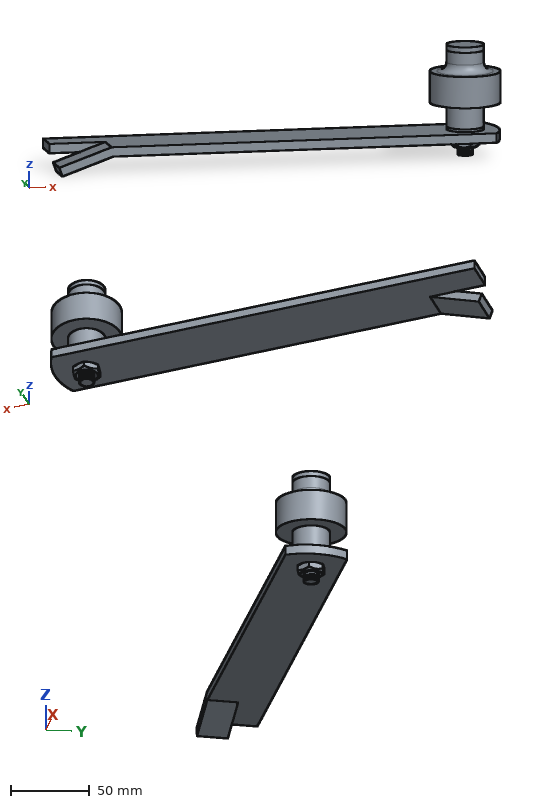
import cadquery as cq
import math

BAR_WIDTH = 40.0
BAR_THICKNESS = 6.0
BAR_CORNER_X = 286.3
END_BULGE = 5.3

SLIT_LENGTH = 38.3
BEND_X = 36.3
BEND_ANGLE = 19.5
LEG_LENGTH = 36.0

DRUM_DIAMETER = 45.0
SLEEVE_DIAMETER = 24.0
WASHER_THICKNESS = 1.8
DRUM_BOTTOM = 17.3
DRUM_HEIGHT = 20.2
NECK_FILLET = 5.8
NECK_HEIGHT = 13.7
DRUM_TOP = DRUM_BOTTOM + DRUM_HEIGHT
ROLLER_TOP = DRUM_TOP + NECK_HEIGHT
AXIS_X = 292.5 - DRUM_DIAMETER / 2

HEAD_THICKNESS = 3.5
THREAD_DIAMETER = 10.0
THREAD_ROOT_DIAMETER = 8.5
THREAD_PITCH = 1.5
GROOVE_MOUTH = 1.2
GROOVE_FLOOR = 0.3
CUT_MARGIN = 0.3
BOLT_PROJECTION = 10.5
BOLT_BOTTOM = -BAR_THICKNESS - BOLT_PROJECTION
TIP_CHAMFER = 0.5

NUT_ACROSS_FLATS = 16.0
NUT_HEIGHT = 5.3
NUT_ROTATION = 40.0
NUT_TOP_FACE_DIAMETER = 16.0
NUT_BOTTOM_FACE_DIAMETER = 14.0
NUT_TOP_CHAMFER = 0.5
NUT_BOTTOM_CHAMFER = 1.8
NUT_TOP = -BAR_THICKNESS
NUT_BOTTOM = NUT_TOP - NUT_HEIGHT


def disc(diameter, bottom, height):
    """Vertical cylinder on the bolt axis."""
    return cq.Workplane("XY", origin=(AXIS_X, 0, bottom)).circle(diameter / 2).extrude(height)


def bolt_bore(bottom, top):
    """Cutter for the bolt hole between two heights."""
    return disc(THREAD_DIAMETER, bottom, top - bottom)


def make_bent_leg():
    """Front half of the split end, from the slit's inner end to the tip."""
    angle = math.radians(BEND_ANGLE)
    tip_x = BEND_X - LEG_LENGTH * math.cos(angle)
    tip_z = -LEG_LENGTH * math.sin(angle)
    lower_bend_x = BEND_X + BAR_THICKNESS * math.tan(angle / 2)
    outline = [
        (SLIT_LENGTH, 0),
        (BEND_X, 0),
        (tip_x, tip_z),
        (tip_x + BAR_THICKNESS * math.sin(angle), tip_z - BAR_THICKNESS * math.cos(angle)),
        (lower_bend_x, -BAR_THICKNESS),
        (SLIT_LENGTH, -BAR_THICKNESS),
    ]
    return cq.Workplane("XZ").polyline(outline).close().extrude(BAR_WIDTH / 2)


def make_bar():
    half_width = BAR_WIDTH / 2
    flat = (
        cq.Workplane("XY")
        .moveTo(0, half_width)
        .lineTo(BAR_CORNER_X, half_width)
        .threePointArc((BAR_CORNER_X + END_BULGE, 0), (BAR_CORNER_X, -half_width))
        .lineTo(SLIT_LENGTH, -half_width)
        .lineTo(SLIT_LENGTH, 0)
        .lineTo(0, 0)
        .close()
        .extrude(-BAR_THICKNESS)
    )
    return flat.union(make_bent_leg()).cut(bolt_bore(-BAR_THICKNESS, 0))


def make_washer():
    return disc(SLEEVE_DIAMETER, 0, WASHER_THICKNESS).cut(bolt_bore(0, WASHER_THICKNESS))


def make_roller():
    bore_radius = THREAD_DIAMETER / 2
    sleeve_radius = SLEEVE_DIAMETER / 2
    drum_radius = DRUM_DIAMETER / 2
    fillet_top = DRUM_TOP + NECK_FILLET
    fillet_diagonal = NECK_FILLET * math.sqrt(0.5)
    fillet_middle = (sleeve_radius + NECK_FILLET - fillet_diagonal, fillet_top - fillet_diagonal)
    return (
        cq.Workplane("XZ", origin=(AXIS_X, 0, 0))
        .moveTo(bore_radius, WASHER_THICKNESS)
        .lineTo(sleeve_radius, WASHER_THICKNESS)
        .lineTo(sleeve_radius, DRUM_BOTTOM)
        .lineTo(drum_radius, DRUM_BOTTOM)
        .lineTo(drum_radius, DRUM_TOP)
        .lineTo(sleeve_radius + NECK_FILLET, DRUM_TOP)
        .threePointArc(fillet_middle, (sleeve_radius, fillet_top))
        .lineTo(sleeve_radius, ROLLER_TOP)
        .lineTo(bore_radius, ROLLER_TOP)
        .close()
        .revolve(360, (0, 0, 0), (0, 1, 0))
    )


def make_thread_groove():
    """Helical cutter with sloping sides, from below the bolt tip up to the nut."""
    root_radius = THREAD_ROOT_DIAMETER / 2
    outer_radius = THREAD_DIAMETER / 2 + CUT_MARGIN
    start = BOLT_BOTTOM - THREAD_PITCH
    length = NUT_BOTTOM - GROOVE_MOUTH - start
    path = cq.Workplane(cq.Wire.makeHelix(THREAD_PITCH, length, root_radius))
    groove = (
        cq.Workplane("XZ")
        .moveTo(root_radius, GROOVE_FLOOR / 2)
        .lineTo(outer_radius, GROOVE_MOUTH / 2)
        .lineTo(outer_radius, -GROOVE_MOUTH / 2)
        .lineTo(root_radius, -GROOVE_FLOOR / 2)
        .close()
        .sweep(path, isFrenet=True)
    )
    return groove.translate((AXIS_X, 0, start))


def make_bolt():
    shank = disc(THREAD_DIAMETER, BOLT_BOTTOM, ROLLER_TOP - BOLT_BOTTOM)
    bevelled_envelope = shank.faces("<Z").chamfer(TIP_CHAMFER)
    threaded_shank = shank.cut(make_thread_groove()).intersect(bevelled_envelope)
    head = disc(SLEEVE_DIAMETER, ROLLER_TOP, HEAD_THICKNESS)
    return threaded_shank.union(head)


def make_nut():
    corner_radius = NUT_ACROSS_FLATS / 2 / math.cos(math.pi / 6)
    prism = (
        cq.Workplane("XY")
        .polygon(6, 2 * corner_radius)
        .extrude(NUT_HEIGHT)
        .rotate((0, 0, 0), (0, 0, 1), NUT_ROTATION)
        .translate((AXIS_X, 0, NUT_BOTTOM))
    )
    blank_outline = [
        (0, NUT_BOTTOM),
        (NUT_BOTTOM_FACE_DIAMETER / 2, NUT_BOTTOM),
        (corner_radius, NUT_BOTTOM + NUT_BOTTOM_CHAMFER),
        (corner_radius, NUT_TOP - NUT_TOP_CHAMFER),
        (NUT_TOP_FACE_DIAMETER / 2, NUT_TOP),
        (0, NUT_TOP),
    ]
    blank = (
        cq.Workplane("XZ", origin=(AXIS_X, 0, 0))
        .polyline(blank_outline)
        .close()
        .revolve(360, (0, 0, 0), (0, 1, 0))
    )
    return prism.intersect(blank).cut(bolt_bore(NUT_BOTTOM, NUT_TOP))


bar = make_bar()
washer = make_washer()
roller = make_roller()
bolt = make_bolt()
nut = make_nut()

result = cq.Compound.makeCompound([bar.val(), washer.val(), roller.val(), bolt.val(), nut.val()])